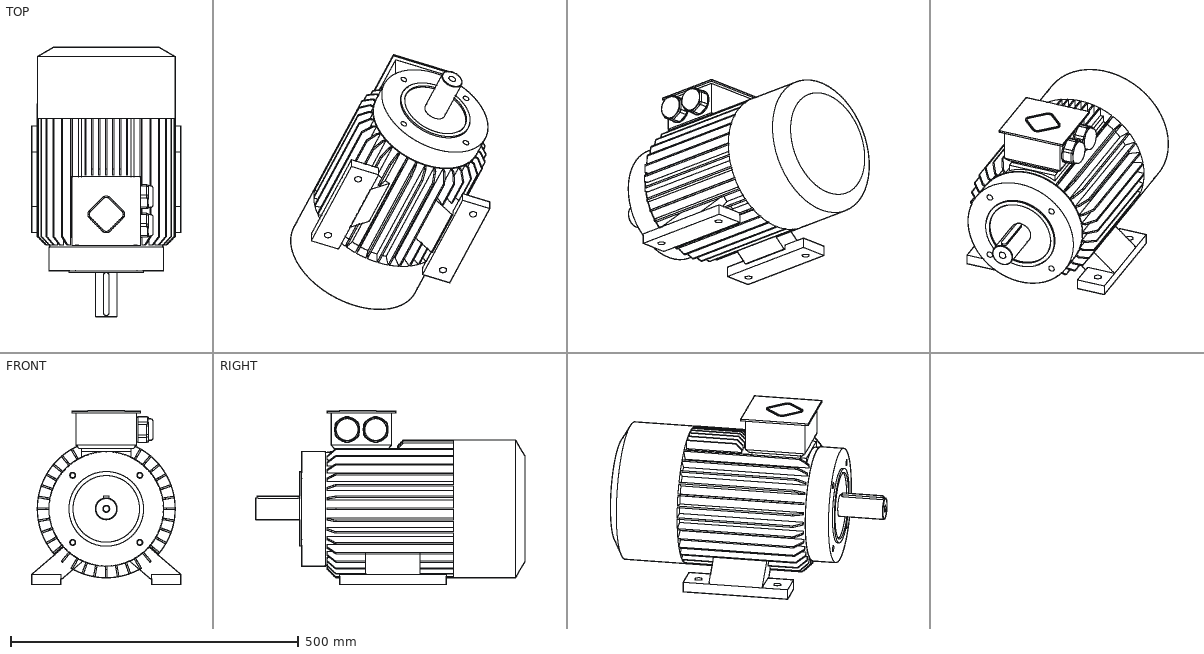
import cadquery as cq
import math


shaft_d = 38.0
shaft_tip_y = -80.0
shaft_tip_chamfer = 1.0
center_hole_d = 12.0
center_hole_core_d = 10.5
center_hole_depth = 23.5
pilot_d = 130.0
pilot_recess_d = 116.0
pilot_height = 3.5
flange_d = 200.0
flange_thickness = 41.5
flange_hole_d = 10.5
flange_hole_core_d = 8.5
flange_hole_pitch_d = 165.0
flange_hole_depth = 18.8
drill_tip_angle = 118
core_extra_depth = 4.5

key_width = 10.0
key_top_z = 22.0
key_length = 74.5

frame_d = 197.0
fin_d = 240.0
fin_thickness = 3.0
fin_step_angle = 10
fin_front_y = 44.5
fin_bevel = 15.0
last_side_fin_angle = 60
cowl_front_y = 264.5
cowl_back_y = 389.0
cowl_bevel_length = 16.5
cowl_back_d = 184.0

pedestal_half_width = 43.0
pedestal_top_z = 99.5
pedestal_front_y = 50.5
top_fin_row_width = 72.0
top_fin_count = 7
top_fin_thickness = 2.5
top_fin_front_y = 167.0
top_fin_bevel = 10.5

box_center_y = 104.0
box_width = 105.5
box_bottom_z = 111.0
box_neck_z = 104.5
box_taper = 5.5
lid_width = 119.5
lid_bottom_z = 166.5
lid_top_z = 170.0
badge_center_y = 98.0
badge_side = 50.5
badge_wall = 2.5
badge_radius = 9.5
badge_height = 1.5

gland_spacing = 49.5
gland_z = 138.0
hex_corner_d = 45.5
hex_across_flats = 41.7
hex_start_x = 55.5
hex_end_x = 73.0
hex_chamfer_length = 3.0
hex_chamfer_depth = 1.5
gland_collar_d = 43.5
gland_ring_d = 38.0
gland_end_x = 81.5
gland_fillet = 5.0

foot_outer_x = 130.0
foot_width = 51.0
foot_bottom_z = -132.0
foot_height = 18.0
foot_center_y = 159.0
foot_length = 185.5
foot_hole_d = 12.0
foot_hole_spacing = 139.8
foot_hole_x = 108.0
strut_length = 94.7
strut_angle = 40.6
strut_bottom_z = -122.0
strut_bottom_x = 77.0
strut_reach = 94.0


def disc(diameter, y_start, y_end):
    """Cylinder on the Y axis between two Y positions."""
    plane = cq.Workplane("XZ", origin=(0, y_start, 0))
    return plane.circle(diameter / 2).extrude(y_start - y_end)


def slab(x_range, y_range, z_range):
    """Axis-aligned block between the given limits."""
    return cq.Workplane("XY").box(
        x_range[1] - x_range[0],
        y_range[1] - y_range[0],
        z_range[1] - z_range[0],
        centered=False,
    ).translate((x_range[0], y_range[0], z_range[0]))


def make_core():
    """Frame, flange, pilot ring, shaft and fan cowl, turned about the Y axis."""
    body = disc(frame_d, flange_thickness, cowl_front_y)
    flange = disc(flange_d, 0, flange_thickness)
    pilot = disc(pilot_d, -pilot_height, 0).cut(disc(pilot_recess_d, -pilot_height, 0))
    shaft = disc(shaft_d, shaft_tip_y, 0).faces("<Y").chamfer(shaft_tip_chamfer)
    cowl_r = fin_d / 2
    cowl = (
        cq.Workplane("XY")
        .moveTo(0, cowl_front_y)
        .lineTo(cowl_r, cowl_front_y)
        .lineTo(cowl_r, cowl_back_y - cowl_bevel_length)
        .lineTo(cowl_back_d / 2, cowl_back_y)
        .lineTo(0, cowl_back_y)
        .close()
        .revolve(360, (0, 0, 0), (0, 1, 0))
    )
    return body.union(flange).union(pilot).union(shaft).union(cowl)


def make_key():
    """Round-ended key standing out of the top of the shaft."""
    key_center_y = -pilot_height - key_length / 2
    return (
        cq.Workplane("XY", origin=(0, key_center_y, 0))
        .slot2D(key_length, key_width, 90)
        .extrude(key_top_z)
    )


def make_side_fins():
    """Radial fins all round, except across the pedestal on top."""
    fin_r = fin_d / 2
    blank = (
        cq.Workplane("XY")
        .moveTo(0, fin_front_y)
        .lineTo(fin_r - fin_bevel, fin_front_y)
        .lineTo(fin_r, fin_front_y + fin_bevel)
        .lineTo(fin_r, cowl_front_y)
        .lineTo(0, cowl_front_y)
        .close()
        .extrude(fin_thickness / 2, both=True)
    )
    fins = cq.Workplane("XY")
    first_angle = 180 - last_side_fin_angle
    for angle in range(first_angle, 360 + last_side_fin_angle + 1, fin_step_angle):
        fins = fins.union(blank.rotate((0, 0, 0), (0, 1, 0), -angle))
    return fins.intersect(disc(fin_d, 0, cowl_front_y))


def make_pedestal():
    """Flat-topped pad on the frame, below the terminal box and the upright fins."""
    return slab(
        (-pedestal_half_width, pedestal_half_width),
        (pedestal_front_y, cowl_front_y),
        (0, pedestal_top_z),
    )


def make_top_fin(x):
    """Upright fin at x on the pedestal, as tall as the outside circle of the side fins allows."""
    fin_top_z = math.sqrt((fin_d / 2) ** 2 - x**2)
    return (
        cq.Workplane("YZ", origin=(x, 0, 0))
        .moveTo(top_fin_front_y, 0)
        .lineTo(top_fin_front_y, fin_top_z - top_fin_bevel)
        .lineTo(top_fin_front_y + top_fin_bevel, fin_top_z)
        .lineTo(cowl_front_y, fin_top_z)
        .lineTo(cowl_front_y, 0)
        .close()
        .extrude(top_fin_thickness / 2, both=True)
    )


def make_top_fins():
    """Row of upright fins, evenly spaced across the pedestal."""
    pitch = top_fin_row_width / (top_fin_count - 1)
    fins = cq.Workplane("XY")
    for index in range(top_fin_count):
        x = index * pitch - top_fin_row_width / 2
        fins = fins.union(make_top_fin(x))
    return fins


def make_terminal_box():
    """Box with a tapered underside on a square neck, an overhanging lid and a raised badge frame."""
    taper_height = box_bottom_z - box_neck_z
    neck_width = 2 * pedestal_half_width
    box_bottom_width = box_width - 2 * box_taper
    box = (
        cq.Workplane("XY", origin=(0, box_center_y, box_bottom_z))
        .rect(box_width, box_width)
        .extrude(lid_bottom_z - box_bottom_z)
    )
    underside = (
        cq.Workplane("XY", origin=(0, box_center_y, box_neck_z))
        .rect(box_bottom_width, box_bottom_width)
        .workplane(offset=taper_height)
        .rect(box_width, box_width)
        .loft(ruled=True)
    )
    neck = (
        cq.Workplane("XY", origin=(0, box_center_y, pedestal_top_z))
        .rect(neck_width, neck_width)
        .extrude(box_neck_z - pedestal_top_z)
    )
    lid = (
        cq.Workplane("XY", origin=(0, box_center_y, lid_bottom_z))
        .rect(lid_width, lid_width)
        .extrude(lid_top_z - lid_bottom_z)
    )
    return box.union(underside).union(neck).union(lid).union(make_badge())


def make_badge():
    """Raised square frame with rounded corners, turned 45 degrees on the lid."""
    plane = cq.Workplane("XY")
    outer = plane.rect(badge_side, badge_side).extrude(badge_height)
    outer = outer.edges("|Z").fillet(badge_radius)
    inner_side = badge_side - 2 * badge_wall
    inner = plane.rect(inner_side, inner_side).extrude(badge_height)
    inner = inner.edges("|Z").fillet(badge_radius - badge_wall)
    badge = outer.cut(inner).rotate((0, 0, 0), (0, 0, 1), 45)
    return badge.translate((0, badge_center_y, lid_top_z))


def make_gland():
    """Cable gland on the X axis: round collar, hexagonal nut and rounded outer ring."""
    box_side_x = box_width / 2
    hex_length = hex_end_x - hex_start_x
    hex_sharp_d = hex_across_flats / math.cos(math.pi / 6)
    base = cq.Workplane("YZ", origin=(box_side_x, 0, 0))
    hex_base = cq.Workplane("YZ", origin=(hex_start_x, 0, 0))
    collar = base.circle(gland_collar_d / 2).extrude(hex_start_x - box_side_x)
    nut = (
        hex_base.polygon(6, hex_sharp_d)
        .extrude(hex_length)
        .rotate((0, 0, 0), (1, 0, 0), 90)
        .intersect(hex_base.circle(hex_corner_d / 2).extrude(hex_length))
        .faces(">X")
        .chamfer(hex_chamfer_depth, hex_chamfer_length)
    )
    ring = base.circle(gland_ring_d / 2).extrude(gland_end_x - box_side_x)
    ring = ring.faces(">X").edges().fillet(gland_fillet)
    return collar.union(nut).union(ring)


def make_foot():
    """Foot pad on the +X side with its slanted strut up to the frame."""
    foot_inner_x = foot_outer_x - foot_width
    foot_top_z = foot_bottom_z + foot_height
    y_start = foot_center_y - foot_length / 2
    pad = slab(
        (foot_inner_x, foot_outer_x),
        (y_start, y_start + foot_length),
        (foot_bottom_z, foot_top_z),
    )
    run = strut_reach * math.cos(math.radians(strut_angle))
    rise = strut_reach * math.sin(math.radians(strut_angle))
    strut = (
        cq.Workplane("XZ")
        .moveTo(foot_outer_x, foot_top_z)
        .lineTo(foot_outer_x - run, foot_top_z + rise)
        .lineTo(strut_bottom_x - run, strut_bottom_z + rise)
        .lineTo(strut_bottom_x, strut_bottom_z)
        .lineTo(foot_outer_x, strut_bottom_z)
        .close()
        .extrude(strut_length / 2, both=True)
        .translate((0, foot_center_y, 0))
    )
    holes = (
        cq.Workplane("XY", origin=(foot_hole_x, foot_center_y, foot_bottom_z))
        .rarray(4.5, foot_hole_spacing, 1, 2)
        .circle(foot_hole_d / 2)
        .extrude(foot_height)
    )
    return pad.union(strut).cut(holes)


def make_tapped_hole(major_d, core_d, depth):
    """Cutter for a tapped hole opening at Y = 0: thread, deeper core and drill tip."""
    core_depth = depth + core_extra_depth
    tip_length = core_d / 2 / math.tan(math.radians(drill_tip_angle / 2))
    return (
        cq.Workplane("XY")
        .lineTo(major_d / 2, 0)
        .lineTo(major_d / 2, depth)
        .lineTo(core_d / 2, depth)
        .lineTo(core_d / 2, core_depth)
        .lineTo(0, core_depth + tip_length)
        .close()
        .revolve(360, (0, 0, 0), (0, 1, 0))
    )


def make_holes():
    """Cutters for the shaft center hole and the four flange mounting holes."""
    hole = make_tapped_hole(center_hole_d, center_hole_core_d, center_hole_depth)
    holes = hole.translate((0, shaft_tip_y, 0))
    flange_hole = make_tapped_hole(flange_hole_d, flange_hole_core_d, flange_hole_depth)
    offset = flange_hole_pitch_d / 2 / math.sqrt(2)
    for x in (-offset, offset):
        for z in (-offset, offset):
            holes = holes.union(flange_hole.translate((x, 0, z)))
    return holes


motor = make_core()
motor = motor.union(make_side_fins())
motor = motor.union(make_pedestal())
motor = motor.union(make_top_fins())
motor = motor.union(make_terminal_box())
for side in (-1, 1):
    gland_y = box_center_y + side * gland_spacing / 2
    motor = motor.union(make_gland().translate((0, gland_y, gland_z)))
foot = make_foot()
motor = motor.union(foot).union(foot.mirror("YZ"))
motor = motor.union(make_key())
motor = motor.cut(make_holes())
result = motor